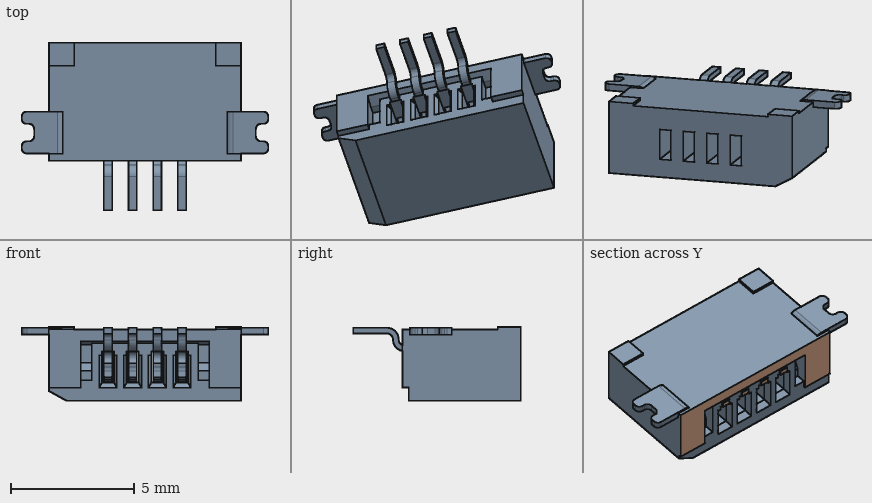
import cadquery as cq
import math


body_width = 7.8
body_depth = 4.8
body_height = 2.9
step_height = 0.54
recess_depth = 0.25
recess_width = 5.2
recess_height = 2.42
ceiling_drop = 0.08
bevel_width = 0.72
bevel_height = 0.4

pad_width = 1.03
pad_depth = 0.94
pad_height = 0.1

slot_width = 0.45
slot_floor = 0.84
slot_top = 2.27
ramp_bottom = 1.23
ramp_top = 1.55
slot_upper_depth = 0.55
slot_lower_depth = 0.4

contact_count = 4
contact_pitch = 1.0
mouth_width = 0.72
mouth_bottom = step_height
mouth_top = 1.86
funnel_depth = 0.24
passage_width = 0.48
passage_bottom = 0.75
passage_top = 2.0

pin_width = 0.35
pin_thickness = 0.24
pin_top = 2.97
pin_reach = 2.0
bend_inner = 0.24
bend_outer = bend_inner + pin_thickness
bend_start = 0.63
hook_radius = 0.25
hook_y = 1.05
hook_end_angle = 75.0
contact_back = 1.6
neck_top = 1.38
neck_bottom = 1.23
tip_bottom = 0.95
neck_recess = 0.02
tip_advance = 0.06
tip_taper = 0.03
tip_end = 0.87
heel_taper = 0.15
tip_chamfer = 0.03
contact_bottom = 0.78

tab_span = 10.0
tab_width = 1.7
tab_thickness = 0.28
tab_front = 0.3
tab_top = pin_top
tab_inner_x = 3.34
tab_bend_radius = 0.35
notch_depth = 0.5
notch_width = 0.7
tab_corner_radius = 0.2

selector_margin = 0.01


def box(x0, x1, y0, y1, z0, z1):
    return cq.Workplane("XY").box(x1 - x0, y1 - y0, z1 - z0, centered=False).translate((x0, y0, z0))


def side_profile(points, width):
    """Extrude a closed (y, z) outline symmetrically about X = 0."""
    return cq.Workplane("YZ").polyline(points).close().extrude(width / 2, both=True)


def make_body():
    half = body_width / 2
    outline = [
        (-half + bevel_width, 0),
        (half, 0),
        (half, body_height),
        (-half, body_height),
        (-half, bevel_height),
    ]
    body = cq.Workplane("XZ").polyline(outline).close().extrude(-body_depth)
    body = body.cut(box(-half, half, 0, recess_depth, 0, step_height))
    for x0 in (-half, half - pad_width):
        body = body.union(
            box(x0, x0 + pad_width, body_depth - pad_depth, body_depth, body_height, body_height + pad_height)
        )
    return body


def make_recess():
    """Front opening between the end posts, with a ceiling that slopes down inwards."""
    return side_profile(
        [
            (0, step_height),
            (recess_depth, step_height),
            (recess_depth, recess_height - ceiling_drop),
            (0, recess_height),
        ],
        recess_width,
    )


def make_side_slot():
    """Slot in the recess wall, with a ramp joining its shallow lower and deep upper halves."""
    lower_y = recess_depth + slot_lower_depth
    upper_y = recess_depth + slot_upper_depth
    ceiling_end_y = recess_depth * (recess_height - slot_top) / ceiling_drop
    return side_profile(
        [
            (recess_depth, slot_floor),
            (lower_y, slot_floor),
            (lower_y, ramp_bottom),
            (upper_y, ramp_top),
            (upper_y, slot_top),
            (ceiling_end_y, slot_top),
            (recess_depth, recess_height - ceiling_drop),
        ],
        slot_width,
    )


def make_passage():
    """Through passage with a funnel mouth that narrows at its sides and floor."""
    mouth_height = mouth_top - mouth_bottom
    throat_height = mouth_top - passage_bottom
    mouth_middle = (mouth_top + mouth_bottom) / 2
    throat_middle = (mouth_top + passage_bottom) / 2
    passage = box(
        -passage_width / 2, passage_width / 2, recess_depth, body_depth, passage_bottom, passage_top
    )
    funnel = (
        cq.Workplane("XZ", origin=(0, recess_depth, mouth_middle))
        .rect(mouth_width, mouth_height)
        .workplane(offset=-funnel_depth)
        .center(0, throat_middle - mouth_middle)
        .rect(passage_width, throat_height)
        .loft(ruled=True)
    )
    return passage.union(funnel)


def make_contact():
    """Contact with an S-bent lead in front and a hooked spring inside the housing."""
    bend_z = pin_top - bend_outer
    upper_y = -bend_start
    lower_y = upper_y + bend_inner + bend_outer
    diagonal = math.sqrt(0.5)
    shank_top = bend_z - bend_inner
    shank_bottom = bend_z - bend_outer
    hook_z = shank_bottom - hook_radius
    end_angle = math.radians(hook_end_angle)
    hook_end = (hook_y + hook_radius * math.cos(end_angle), hook_z - hook_radius * math.sin(end_angle))
    neck_y = hook_end[0] + neck_recess
    tip_y = neck_y - tip_advance

    contact = (
        cq.Workplane("YZ")
        .moveTo(-pin_reach, pin_top)
        .lineTo(upper_y, pin_top)
        .threePointArc(
            (upper_y + bend_outer * diagonal, bend_z + bend_outer * diagonal),
            (upper_y + bend_outer, bend_z),
        )
        .threePointArc(
            (lower_y - bend_inner * diagonal, bend_z - bend_inner * diagonal),
            (lower_y, shank_top),
        )
        .lineTo(contact_back, shank_top)
        .lineTo(contact_back, contact_bottom)
        .lineTo(tip_y + heel_taper, contact_bottom)
        .lineTo(tip_y + tip_taper, tip_end)
        .lineTo(tip_y, tip_bottom)
        .lineTo(neck_y, neck_bottom)
        .tangentArcPoint((neck_y, neck_top), relative=False)
        .lineTo(*hook_end)
        .threePointArc((hook_y + hook_radius, hook_z), (hook_y, shank_bottom))
        .lineTo(lower_y, shank_bottom)
        .threePointArc(
            (lower_y - bend_outer * diagonal, bend_z - bend_outer * diagonal),
            (lower_y - bend_outer, bend_z),
        )
        .threePointArc(
            (upper_y + bend_inner * diagonal, bend_z + bend_inner * diagonal),
            (upper_y, bend_z + bend_inner),
        )
        .lineTo(-pin_reach, bend_z + bend_inner)
        .close()
        .extrude(pin_width / 2, both=True)
    )
    tip_edges = cq.selectors.BoxSelector(
        (-pin_width, tip_y - selector_margin, tip_end - selector_margin),
        (pin_width, tip_y + tip_taper + selector_margin, tip_bottom + selector_margin),
    )
    return contact.edges("not |X").edges(tip_edges).chamfer(tip_chamfer)


def make_tab():
    """Solder tab on the +X side, with its inner end bent down into the housing."""
    tip_x = tab_span / 2
    tab_rear = tab_front + tab_width
    tab_middle = tab_front + tab_width / 2
    bend_drop = tab_top - body_height
    bend_run = math.sqrt(tab_bend_radius**2 - (tab_bend_radius - bend_drop) ** 2)
    bend_x = tab_inner_x + bend_run
    bend_z = tab_top - tab_bend_radius
    half_angle = math.asin(bend_run / tab_bend_radius) / 2
    bend_middle = (
        bend_x - tab_bend_radius * math.sin(half_angle),
        bend_z + tab_bend_radius * math.cos(half_angle),
    )
    tab_bottom = tab_top - tab_thickness
    tab = (
        cq.Workplane("XZ", origin=(0, tab_front, 0))
        .moveTo(tip_x, tab_bottom)
        .lineTo(tip_x, tab_top)
        .lineTo(bend_x, tab_top)
        .threePointArc(bend_middle, (tab_inner_x, body_height))
        .lineTo(tab_inner_x, tab_bottom)
        .close()
        .extrude(-tab_width)
    )
    notch = box(
        tip_x - notch_depth,
        tip_x,
        tab_middle - notch_width / 2,
        tab_middle + notch_width / 2,
        tab_bottom,
        tab_top,
    )
    end_edges = cq.selectors.BoxSelector(
        (tip_x - notch_depth - selector_margin, tab_front - selector_margin, tab_bottom),
        (tip_x + selector_margin, tab_rear + selector_margin, tab_top),
    )
    return tab.cut(notch).edges("|Z").edges(end_edges).fillet(tab_corner_radius)


body = make_body().cut(make_recess())

slot_x = (recess_width - slot_width) / 2
for x in (-slot_x, slot_x):
    body = body.cut(make_side_slot().translate((x, 0, 0)))

first_x = -(contact_count - 1) * contact_pitch / 2
contact_positions = [first_x + i * contact_pitch for i in range(contact_count)]
for x in contact_positions:
    body = body.cut(make_passage().translate((x, 0, 0)))
for x in contact_positions:
    body = body.union(make_contact().translate((x, 0, 0)))

tab = make_tab()
result = body.union(tab).union(tab.mirror("YZ"))